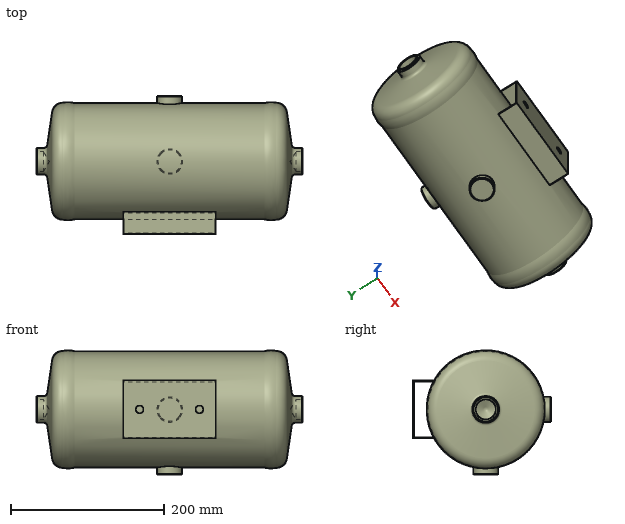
import cadquery as cq
import math

overall_length = 348.0
shell_radius = 152.0 / 2
bead_radius = 77.3
cap_radius = 76.5
cap_inner_x = 124.0
cap_outer_x = 139.0
cone_edge_radius = 64.0
cone_angle = math.radians(8.4)

neck_radius = 35.0 / 2
neck_root_radius = 21.2
neck_straight_length = 9.5
neck_chamfer = 1.7
neck_bore_diameter = 26.0
neck_bore_depth = 9.0
bore_tip_angle = math.radians(118.0)

port_diameter = 33.0
port_reach = 85.3
port_chamfer = 1.5

bracket_length = 120.5
bracket_height = 75.5
bracket_reach = 95.0
bracket_thickness = 1.7
bracket_hole_diameter = 10.0
bracket_hole_spacing = 78.0


def make_tank():
    """One straight shell closed by two identical end caps."""
    half_length = overall_length / 2
    bead_middle_x = (cap_inner_x + cap_outer_x) / 2

    knuckle_radius = (cap_radius - cone_edge_radius) / (1 - math.sin(cone_angle))
    knuckle_center_r = cap_radius - knuckle_radius
    middle_angle = (math.pi / 2 + cone_angle) / 2
    knuckle_middle = (
        cap_outer_x + knuckle_radius * math.cos(middle_angle),
        knuckle_center_r + knuckle_radius * math.sin(middle_angle),
    )
    cone_edge_x = cap_outer_x + knuckle_radius * math.cos(cone_angle)
    neck_root_x = cone_edge_x + (cone_edge_radius - neck_root_radius) * math.tan(cone_angle)

    profile = (
        cq.Workplane("XY")
        .moveTo(cap_inner_x, 0)
        .lineTo(cap_inner_x, shell_radius)
        .threePointArc((bead_middle_x, bead_radius), (cap_outer_x, cap_radius))
        .threePointArc(knuckle_middle, (cone_edge_x, cone_edge_radius))
        .lineTo(neck_root_x, neck_root_radius)
        .tangentArcPoint((half_length - neck_straight_length, neck_radius), relative=False)
        .lineTo(half_length - neck_chamfer, neck_radius)
        .lineTo(half_length, neck_radius - neck_chamfer)
        .lineTo(half_length, 0)
        .close()
    )
    cap = profile.revolve(360, (0, 0, 0), (1, 0, 0)).cut(make_neck_bore(half_length))
    shell = cq.Workplane("YZ").circle(shell_radius).extrude(cap_inner_x, both=True)
    return shell.union(cap).union(cap.mirror("YZ"))


def make_neck_bore(mouth_x):
    """Blind bore with a conical bottom, opening at the +X end."""
    bore_radius = neck_bore_diameter / 2
    bottom_x = mouth_x - neck_bore_depth
    tip_x = bottom_x - bore_radius / math.tan(bore_tip_angle / 2)
    return (
        cq.Workplane("XY")
        .moveTo(tip_x, 0)
        .lineTo(bottom_x, bore_radius)
        .lineTo(mouth_x, bore_radius)
        .lineTo(mouth_x, 0)
        .close()
        .revolve(360, (0, 0, 0), (1, 0, 0))
    )


def make_port(direction):
    """Round boss running from the tank axis outward along the direction."""
    plane = cq.Plane(origin=(0, 0, 0), xDir=(1, 0, 0), normal=direction)
    return (
        cq.Workplane(plane)
        .circle(port_diameter / 2)
        .extrude(port_reach)
        .faces(cq.selectors.DirectionMinMaxSelector(cq.Vector(*direction)))
        .chamfer(port_chamfer)
    )


def make_bracket():
    """Channel open toward the tank, with two holes through its web."""
    channel = cq.Workplane("XY").box(
        bracket_length, bracket_reach, bracket_height, centered=(True, False, True)
    ).translate((0, -bracket_reach, 0))
    inside = cq.Workplane("XY").box(
        bracket_length,
        bracket_reach - bracket_thickness,
        bracket_height - 2 * bracket_thickness,
        centered=(True, False, True),
    ).translate((0, bracket_thickness - bracket_reach, 0))
    holes = (
        cq.Workplane("XZ")
        .rarray(bracket_hole_spacing, 3.5, 2, 1)
        .circle(bracket_hole_diameter / 2)
        .extrude(bracket_reach)
    )
    return channel.cut(inside).cut(holes)


result = make_tank().union(make_bracket())
for port_direction in ((0, 1, 0), (0, 0, -1)):
    result = result.union(make_port(port_direction))